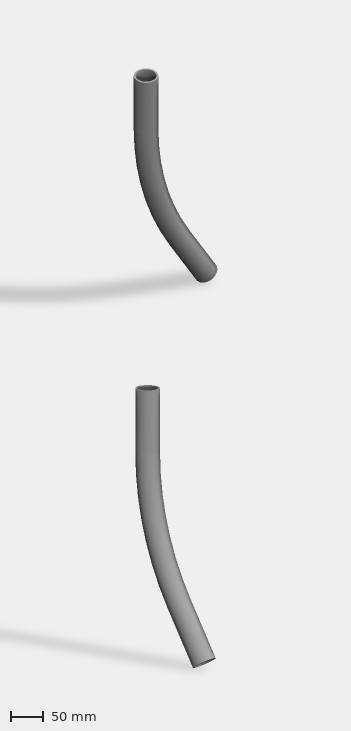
import cadquery as cq
import math

overall_height = 427.5
outer_diameter = 38.0
inner_diameter = 32.0
straight_length = 100.0
bend_angle = math.radians(30)

outer_radius = outer_diameter / 2
leg_drop = straight_length * math.cos(bend_angle)
leg_reach = straight_length * math.sin(bend_angle)
end_drop = outer_radius * math.sin(bend_angle)
bend_drop = overall_height - straight_length - leg_drop - end_drop
bend_radius = bend_drop / math.sin(bend_angle)


def bend_point(angle):
    """Point (Y, Z) on the bend centreline, at an angle measured from the start of the bend."""
    return (
        bend_radius * (1 - math.cos(angle)),
        overall_height - straight_length - bend_radius * math.sin(angle),
    )


bend_start = bend_point(0)
bend_middle = bend_point(bend_angle / 2)
bend_end = bend_point(bend_angle)
lower_end = (bend_end[0] + leg_reach, bend_end[1] - leg_drop)

centreline = (
    cq.Workplane("YZ")
    .moveTo(0, overall_height)
    .lineTo(*bend_start)
    .threePointArc(bend_middle, bend_end)
    .lineTo(*lower_end)
)

result = (
    cq.Workplane("XY")
    .workplane(offset=overall_height)
    .circle(outer_radius)
    .circle(inner_diameter / 2)
    .sweep(centreline)
)